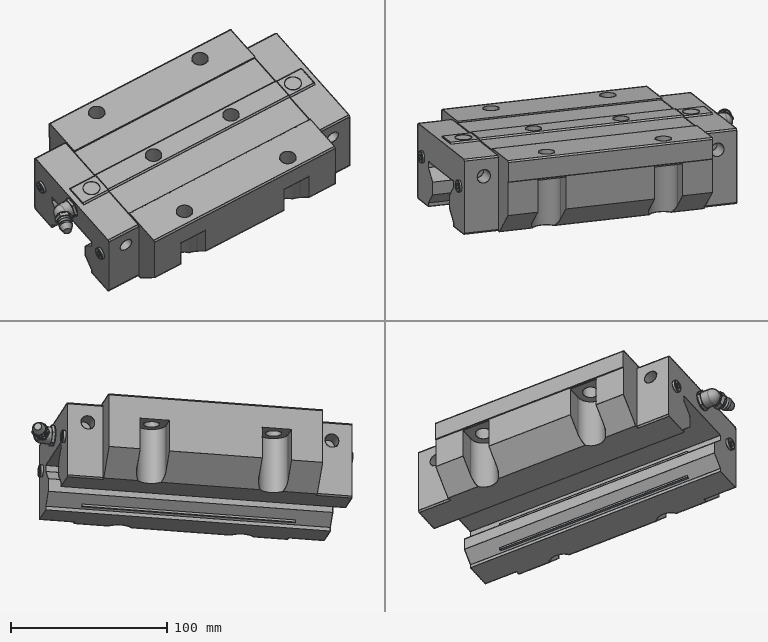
import cadquery as cq
import math

block_width = 120.0
block_length = 140.0
block_height = 52.0
half_width = block_width / 2
half_block = block_length / 2
top_chamfer = 1.0
datum_step = 0.6
datum_step_z = 37.8
foot_half_width = 44.0
pad_inner_x = 31.5
recess_z = 51.0
rib_top_half = 7.1
rib_base_half = 8.2

channel_half = 22.7
channel_roof_z = 30.2
throat_half = 15.1
throat_low_z = 10.0
throat_high_z = 18.5
ridge_x = 20.2
ridge_size = 1.5

hole_diameter = 10.5
flange_hole_x = 50.0
flange_hole_y = 40.0
center_hole_y = 30.0
pocket_radius = 9.5
pocket_top_z = 36.7

cap_half_width = 42.3
cap_top_z = 50.5
cap_chamfer = 1.0
cap_length = 19.5
plate_thickness = 3.7
cap_rib_top_z = 51.5
cap_end_y = half_block + cap_length
plate_end_y = cap_end_y + plate_thickness

port_y = 78.0
port_diameter = 10.8
port_depth = 0.2
side_hole_y = 80.0
side_hole_z = 37.8
side_hole_diameter = 9.0
side_hole_depth = 12.2

screw_x = 33.5
screw_z = 30.2
screw_diameter = 8.0
front_screw_height = 2.0
rear_screw_height = 1.6
screw_rim = 0.5
socket_diameter = 3.7
socket_depth = 1.0

nipple_z = 42.5
seat_diameter = 13.0
seat_depth = 0.2
base_hex_corners = 13.5
base_hex_height = 2.0
elbow_radius = 5.5
elbow_reach = 7.3
branch_angle = 22.5
branch_hex_corners = 11.5
branch_hex_start = 4.0
branch_hex_end = 7.0
collar_radius = 4.5
collar_end = 8.5
neck_radius = 3.3
neck_position = 9.4
head_radius = 4.3
head_start = 10.5
head_end = 12.0
tip_radius = 2.5
tip_end = 16.1


def extrude_along_y(points, y_start, y_end):
    """Extrude an (x, z) outline from y_start to y_end."""
    sketch = cq.Workplane("XZ", origin=(0, y_start, 0)).polyline(points).close()
    return sketch.extrude(y_start - y_end)


def mirrored_outline(right_half):
    """Complete an (x, z) outline from its +X half."""
    return right_half + [(-x, z) for x, z in reversed(right_half)]


def channel_outline(with_ridges):
    slope_run = channel_half - throat_half
    low_ridge = []
    high_ridge = []
    if with_ridges:
        ridge_base_z = throat_low_z - (ridge_x - throat_half)
        ridge_top_z = throat_high_z + (ridge_x - throat_half)
        low_ridge = [
            (ridge_x + ridge_size, ridge_base_z - ridge_size),
            (ridge_x, ridge_base_z - ridge_size),
            (ridge_x, ridge_base_z),
        ]
        high_ridge = [
            (ridge_x, ridge_top_z),
            (ridge_x, ridge_top_z + ridge_size),
            (ridge_x + ridge_size, ridge_top_z + ridge_size),
        ]
    right_half = [
        (channel_half, 0),
        (channel_half, throat_low_z - slope_run),
        *low_ridge,
        (throat_half, throat_low_z),
        (throat_half, throat_high_z),
        *high_ridge,
        (channel_half, throat_high_z + slope_run),
        (channel_half, channel_roof_z),
    ]
    return mirrored_outline(right_half)


def make_block():
    right_half = [
        (foot_half_width, 0),
        (half_width, half_width - foot_half_width),
        (half_width, block_height - top_chamfer),
        (half_width - top_chamfer, block_height),
        (pad_inner_x, block_height),
        (pad_inner_x, recess_z),
        (rib_base_half, recess_z),
        (rib_top_half, block_height),
    ]
    block = extrude_along_y(mirrored_outline(right_half), -half_block, half_block)
    block = block.cut(extrude_along_y(channel_outline(True), -half_block, half_block))
    set_back = cq.Workplane("XY").box(
        datum_step, block_length, datum_step_z, centered=(False, True, False)
    )
    return block.cut(set_back.translate((-half_width, 0, 0)))


def bolt_pocket(side, y):
    """Clearance for a bolt head under the flange, open toward the flank."""
    round_end = cq.Workplane("XY").center(side * flange_hole_x, y).circle(pocket_radius)
    opening = cq.Workplane("XY").center(side * (flange_hole_x + pocket_radius), y)
    opening = opening.rect(2 * pocket_radius, 2 * pocket_radius)
    return round_end.extrude(pocket_top_z).union(opening.extrude(pocket_top_z))


def cut_bolt_holes(body):
    flange_points = [(sx * flange_hole_x, sy * flange_hole_y) for sx in (-1, 1) for sy in (-1, 1)]
    center_points = [(0, -center_hole_y), (0, center_hole_y)]
    holes = cq.Workplane("XY").pushPoints(flange_points + center_points)
    body = body.cut(holes.circle(hole_diameter / 2).extrude(block_height))
    for side in (-1, 1):
        for end in (-1, 1):
            body = body.cut(bolt_pocket(side, end * flange_hole_y))
    return body


def make_front_cap():
    """End cap with its cover plate, on the -Y end."""
    right_half = [
        (cap_half_width - cap_chamfer, 0),
        (cap_half_width, cap_chamfer),
        (cap_half_width, cap_top_z - cap_chamfer),
        (cap_half_width - cap_chamfer, cap_top_z),
    ]
    cap = extrude_along_y(mirrored_outline(right_half), -plate_end_y, -half_block)
    rib_half = [(rib_base_half, cap_top_z), (rib_top_half, cap_rib_top_z)]
    cap = cap.union(extrude_along_y(mirrored_outline(rib_half), -cap_end_y, -half_block))
    cap = cap.cut(extrude_along_y(channel_outline(False), -plate_end_y, -half_block))

    port = cq.Workplane("XY", origin=(0, -port_y, cap_rib_top_z)).circle(port_diameter / 2)
    cap = cap.cut(port.extrude(-port_depth))
    for side in (-1, 1):
        hole = cq.Workplane("YZ", origin=(side * cap_half_width, -side_hole_y, side_hole_z))
        cap = cap.cut(hole.circle(side_hole_diameter / 2).extrude(-side * side_hole_depth))
    return cap


def plate_screws(height):
    """Pair of socket screw heads standing on the -Y plate."""
    face = cq.Workplane("XZ", origin=(0, -plate_end_y, screw_z))
    heads = face.pushPoints([(-screw_x, 0), (screw_x, 0)]).circle(screw_diameter / 2).extrude(height)
    heads = heads.faces("<Y").edges().chamfer(screw_rim)
    outer_face = cq.Workplane("XZ", origin=(0, -plate_end_y - height, screw_z))
    sockets = outer_face.pushPoints([(-screw_x, 0), (screw_x, 0)]).polygon(6, socket_diameter)
    return heads.cut(sockets.extrude(-socket_depth))


def nipple_seat():
    """Shallow round seat in the -Y plate around the nipple."""
    face = cq.Workplane("XZ", origin=(0, -plate_end_y, nipple_z))
    return face.circle(seat_diameter / 2).extrude(-seat_depth)


def make_nipple():
    """Angled grease nipple on the -Y plate."""
    base = cq.Workplane("XZ", origin=(0, -plate_end_y, nipple_z))
    nipple = base.polygon(6, base_hex_corners).extrude(base_hex_height)
    nipple = nipple.union(base.circle(elbow_radius).extrude(-seat_depth))
    nipple = nipple.union(base.circle(elbow_radius).extrude(elbow_reach))
    center = cq.Vector(0, -plate_end_y - elbow_reach, nipple_z)
    nipple = nipple.union(cq.Workplane("XY").sphere(elbow_radius).translate(center))

    lean = math.radians(branch_angle)
    axis = cq.Vector(math.cos(lean), -math.sin(lean), 0)
    branch_plane = cq.Plane(origin=center, xDir=axis.cross(cq.Vector(0, 0, 1)), normal=axis)
    branch_hex = cq.Workplane(branch_plane).workplane(offset=branch_hex_start)
    branch_hex = branch_hex.polygon(6, branch_hex_corners).extrude(branch_hex_end - branch_hex_start)

    stem_plane = cq.Plane(origin=center, xDir=(0, 0, 1), normal=cq.Vector(0, 0, 1).cross(axis))
    stem = (
        cq.Workplane(stem_plane)
        .lineTo(collar_radius, 0)
        .lineTo(collar_radius, collar_end)
        .threePointArc((neck_radius, neck_position), (head_radius, head_start))
        .lineTo(head_radius, head_end)
        .lineTo(tip_radius, tip_end)
        .lineTo(0, tip_end)
        .close()
        .revolve(360, (0, 0), (0, 1))
    )
    return nipple.union(branch_hex).union(stem)


front_cap = make_front_cap()
result = cut_bolt_holes(make_block())
result = result.union(front_cap).union(front_cap.mirror("XZ"))
result = result.union(plate_screws(front_screw_height))
result = result.union(plate_screws(rear_screw_height).mirror("XZ"))
result = result.cut(nipple_seat())
result = result.union(make_nipple())